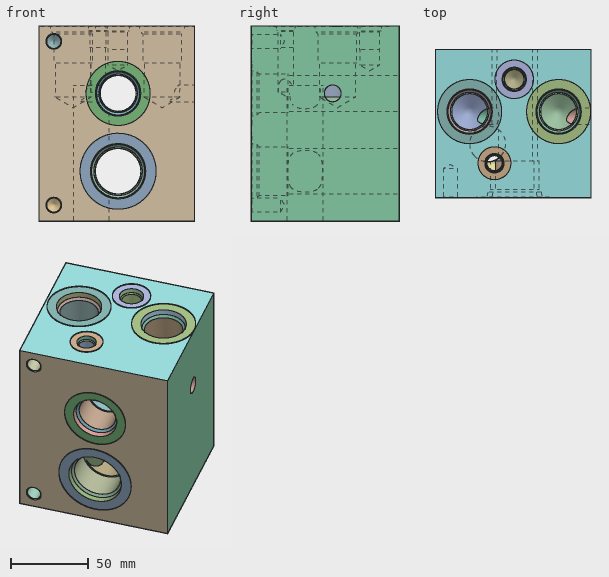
import cadquery as cq
import math

WIDTH = 100.0
DEPTH = 95.2
HEIGHT = 125.4
TOP = HEIGHT / 2
FRONT = -DEPTH / 2

SPOTFACE_DEPTH = 0.5
SEAL_CONE_ANGLE = 12.0
DRILL_POINT_ANGLE = 118.0

PORT_SMALL = dict(spotface=21.1, mouth=12.4, minor=10.0, drill=9.7, cone_depth=2.4, thread_depth=13.8)
PORT_MEDIUM = dict(spotface=24.7, mouth=15.5, minor=12.8, drill=12.4, cone_depth=2.8, thread_depth=15.0)
PORT_LARGE = dict(spotface=41.1, mouth=29.1, minor=24.7, drill=23.0, cone_depth=3.3, thread_depth=23.8)
PORT_EXTRA_LARGE = dict(spotface=48.8, mouth=35.5, minor=31.1, drill=29.1, cone_depth=3.3, thread_depth=23.8)

BORE_X = 0.9
UPPER_BORE_Z = 19.5
LOWER_BORE_Z = -30.5

LEFT_PORT_X = -28.0
RIGHT_PORT_X = 29.1
LARGE_PORT_Y = 7.8
LARGE_PORT_TIP_Z = UPPER_BORE_Z - 9.3
MEDIUM_PORT_X = 0.6
MEDIUM_PORT_Y = 28.5
MEDIUM_PORT_TIP_Z = 33.9
SMALL_PORT_X = -12.0
SMALL_PORT_Y = -25.3
SMALL_PORT_TIP_Z = UPPER_BORE_Z - 1.9

PASSAGE_DIAMETER = 10.8
PASSAGE_Y = 4.8

BOTTOM_DRILL_DIAMETER = 23.0
BOTTOM_DRILL_X = -16.4
BOTTOM_DRILL_Y = -12.9
BOTTOM_DRILL_END_Z = UPPER_BORE_Z + 5.0

MOUNT_X = -40.4
MOUNT_Z = (52.8, -52.2)
MOUNT_DIAMETER = 9.0
MOUNT_MOUTH_DIAMETER = 10.0
MOUNT_DEPTH = 18.8


def drill_point_height(diameter):
    """Height of the conical end left by a drill."""
    return diameter / 2 / math.tan(math.radians(DRILL_POINT_ANGLE / 2))


def revolve_profile(profile):
    """Solid of revolution about Z from (radius, height) points that start and end on the axis."""
    return cq.Workplane("XZ").polyline(profile).close().revolve(360, (0, 0), (0, 1))


def port_cutter(length, spotface, mouth, minor, drill, cone_depth, thread_depth):
    """Stepped port going down from the origin: spotface, seal cone, 45 degree lead-in, thread, drill."""
    throat_radius = mouth / 2 - cone_depth * math.tan(math.radians(SEAL_CONE_ANGLE))
    throat = SPOTFACE_DEPTH + cone_depth
    lead_in_end = throat + throat_radius - minor / 2
    return revolve_profile([
        (0, 0),
        (spotface / 2, 0),
        (spotface / 2, -SPOTFACE_DEPTH),
        (mouth / 2, -SPOTFACE_DEPTH),
        (throat_radius, -throat),
        (minor / 2, -lead_in_end),
        (minor / 2, -thread_depth),
        (drill / 2, -thread_depth),
        (drill / 2, drill_point_height(drill) - length),
        (0, -length),
    ])


def blind_hole_cutter(diameter, mouth_diameter, depth):
    """Drilled hole with a chamfered mouth, going down from the origin."""
    chamfer = (mouth_diameter - diameter) / 2
    return revolve_profile([
        (0, 0),
        (mouth_diameter / 2, 0),
        (diameter / 2, -chamfer),
        (diameter / 2, -depth),
        (0, -depth - drill_point_height(diameter)),
    ])


def on_front(cutter, x, z):
    """Turn a downward cutter to point along +Y and place it on the front face."""
    return cutter.rotate((0, 0, 0), (1, 0, 0), 90).translate((x, FRONT, z))


def passage(start_x, end_x):
    """Cross drilling along X between two positions."""
    return (
        cq.Workplane("YZ", origin=(start_x, PASSAGE_Y, UPPER_BORE_Z))
        .circle(PASSAGE_DIAMETER / 2)
        .extrude(end_x - start_x)
    )


block = cq.Workplane("XY").box(WIDTH, DEPTH, HEIGHT)

top_ports = (
    (LEFT_PORT_X, LARGE_PORT_Y, LARGE_PORT_TIP_Z, PORT_LARGE),
    (RIGHT_PORT_X, LARGE_PORT_Y, LARGE_PORT_TIP_Z, PORT_LARGE),
    (MEDIUM_PORT_X, MEDIUM_PORT_Y, MEDIUM_PORT_TIP_Z, PORT_MEDIUM),
    (SMALL_PORT_X, SMALL_PORT_Y, SMALL_PORT_TIP_Z, PORT_SMALL),
)
for x, y, tip_z, port in top_ports:
    block = block.cut(port_cutter(TOP - tip_z, **port).translate((x, y, TOP)))

for z, port in ((UPPER_BORE_Z, PORT_LARGE), (LOWER_BORE_Z, PORT_EXTRA_LARGE)):
    bore_length = DEPTH + 2 * drill_point_height(port["drill"])
    block = block.cut(on_front(port_cutter(bore_length, **port), BORE_X, z))

for z in MOUNT_Z:
    mount = blind_hole_cutter(MOUNT_DIAMETER, MOUNT_MOUTH_DIAMETER, MOUNT_DEPTH)
    block = block.cut(on_front(mount, MOUNT_X, z))

block = block.cut(passage(LEFT_PORT_X, BORE_X))
block = block.cut(passage(RIGHT_PORT_X, WIDTH / 2))

bottom_drill = (
    cq.Workplane("XY", origin=(BOTTOM_DRILL_X, BOTTOM_DRILL_Y, -TOP))
    .circle(BOTTOM_DRILL_DIAMETER / 2)
    .extrude(BOTTOM_DRILL_END_Z + TOP)
)
block = block.cut(bottom_drill)

result = cq.Compound.makeCompound(block.vals())